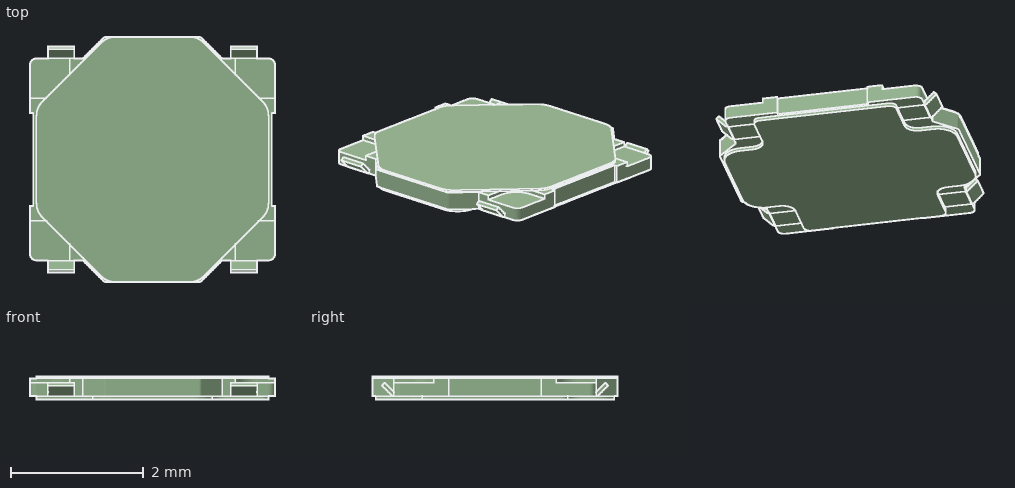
import cadquery as cq
import math

half_length = 1.85
total_height = 0.35
base_top = 0.05
cover_thickness = 0.03
housing_top = total_height - cover_thickness

octagon_half_x = 1.8
octagon_diagonal = 2.575
octagon_corner_radius = 0.05
block_half_y = 1.525
block_inner_x = 0.45
block_inner_y = 0.7
block_corner_radius = 0.1
pocket_size = 0.6
pocket_floor = 0.25
pocket_radius = 0.3

pad_half_x = 1.75
pad_half_y = 1.8
pad_arm_half_x = 0.9
pad_arm_half_y = 1.1
pad_end_radius_x = 0.1
pad_end_radius_y = 0.3
pad_inner_radius = 0.2

cover_half_x = 1.75
cover_diagonal = 2.535
cover_corner_radius = 0.3

terminal_x = 1.38
terminal_width = 0.4
terminal_thickness = 0.06
terminal_outer_radius = 0.07
terminal_inner_radius = terminal_outer_radius - terminal_thickness
terminal_inner_y = pad_arm_half_y
terminal_bend_y = 1.516
terminal_tip_y = 1.707
bend_angle = math.radians(45)

SIGNS = (-1, 1)
QUADRANTS = [(sx, sy) for sx in SIGNS for sy in SIGNS]


def octagon(half_x, half_y, diagonal, bottom, top):
    """Prism with an octagonal outline whose four sloped sides run at 45 degrees."""
    box = cq.Workplane("XY").box(2 * half_x, 2 * half_y, top - bottom, centered=(True, True, False))
    diamond_side = math.sqrt(2) * diagonal
    diamond = (
        cq.Workplane("XY")
        .rect(diamond_side, diamond_side)
        .extrude(top - bottom)
        .rotate((0, 0, 0), (0, 0, 1), 45)
    )
    return box.intersect(diamond).translate((0, 0, bottom))


def slab(x_range, y_range, bottom, top):
    """Upright box between two X, two Y and two Z limits, given in any order."""
    return (
        cq.Workplane("XY", origin=(sum(x_range) / 2, sum(y_range) / 2, bottom))
        .rect(abs(x_range[1] - x_range[0]), abs(y_range[1] - y_range[0]))
        .extrude(top - bottom)
    )


def make_corner_block(sx, sy):
    """Corner block that fills out the octagon at one corner."""
    block = slab(
        (sx * block_inner_x, sx * half_length),
        (sy * block_inner_y, sy * block_half_y),
        base_top,
        housing_top,
    )
    x_side = ">X" if sx > 0 else "<X"
    y_side = ">Y" if sy > 0 else "<Y"
    return block.edges(f"|Z and {x_side} and {y_side}").fillet(block_corner_radius)


def make_pocket_cutter(sx, sy):
    """Volume removed above the stepped-down square of one block, round at its inner corner."""
    cutter = slab(
        (sx * (half_length - pocket_size), sx * half_length),
        (sy * (block_half_y - pocket_size), sy * block_half_y),
        pocket_floor,
        housing_top,
    )
    x_side = "<X" if sx > 0 else ">X"
    y_side = "<Y" if sy > 0 else ">Y"
    return cutter.edges(f"|Z and {x_side} and {y_side}").fillet(pocket_radius)


def make_base_pad():
    """Plus-shaped pad that stands below the housing."""
    arm_x = slab((-pad_half_x, pad_half_x), (-pad_arm_half_y, pad_arm_half_y), 0, base_top)
    arm_y = slab((-pad_arm_half_x, pad_arm_half_x), (-pad_half_y, pad_half_y), 0, base_top)
    arm_x = arm_x.edges("|Z").fillet(pad_end_radius_x)
    arm_y = arm_y.edges("|Z").fillet(pad_end_radius_y)
    pad = arm_x.union(arm_y)
    inner_corners = cq.selectors.BoxSelector(
        (-pad_arm_half_x - pad_inner_radius / 2, -pad_arm_half_y - pad_inner_radius / 2, 0),
        (pad_arm_half_x + pad_inner_radius / 2, pad_arm_half_y + pad_inner_radius / 2, base_top),
    )
    return pad.edges("|Z").edges(inner_corners).fillet(pad_inner_radius)


def make_terminal(sx, sy):
    """Flat leg under the housing with an outer end bent up at 45 degrees."""
    center_z = base_top + terminal_outer_radius

    def bend_point(radius, angle):
        return (terminal_bend_y + radius * math.sin(angle), center_z - radius * math.cos(angle))

    outer_end = bend_point(terminal_outer_radius, bend_angle)
    inner_end = bend_point(terminal_inner_radius, bend_angle)
    tab_reach = terminal_tip_y - outer_end[0]
    tab_rise = tab_reach * math.tan(bend_angle)
    profile = (
        cq.Workplane("YZ")
        .moveTo(terminal_inner_y, base_top)
        .lineTo(*bend_point(terminal_outer_radius, 0))
        .threePointArc(bend_point(terminal_outer_radius, bend_angle / 2), outer_end)
        .line(tab_reach, tab_rise)
        .lineTo(inner_end[0] + tab_reach, inner_end[1] + tab_rise)
        .lineTo(*inner_end)
        .threePointArc(bend_point(terminal_inner_radius, bend_angle / 2), bend_point(terminal_inner_radius, 0))
        .lineTo(terminal_inner_y, base_top + terminal_thickness)
        .close()
    )
    terminal = profile.extrude(terminal_width / 2, both=True)
    if sy < 0:
        terminal = terminal.mirror("XZ")
    return terminal.translate((sx * terminal_x, 0, 0))


def make_housing(terminals):
    """Housing with corner blocks, stepped pockets, base pad and terminal recesses."""
    body = octagon(octagon_half_x, half_length, octagon_diagonal, base_top, housing_top)
    body = body.faces("<Y or >Y").edges("|Z").fillet(octagon_corner_radius)
    for sx, sy in QUADRANTS:
        body = body.union(make_corner_block(sx, sy))
    for sx, sy in QUADRANTS:
        body = body.cut(make_pocket_cutter(sx, sy))
    body = body.union(make_base_pad())
    for terminal in terminals:
        body = body.cut(terminal)
    return body


def make_cover():
    """Thin octagonal film on top of the housing."""
    film = octagon(cover_half_x, half_length, cover_diagonal, housing_top, total_height)
    return film.edges("|Z").fillet(cover_corner_radius)


terminals = [make_terminal(sx, sy) for sx, sy in QUADRANTS]
housing = make_housing(terminals)
cover = make_cover()

bodies = [housing, cover, *terminals]
result = cq.Compound.makeCompound([body.solids().val() for body in bodies])